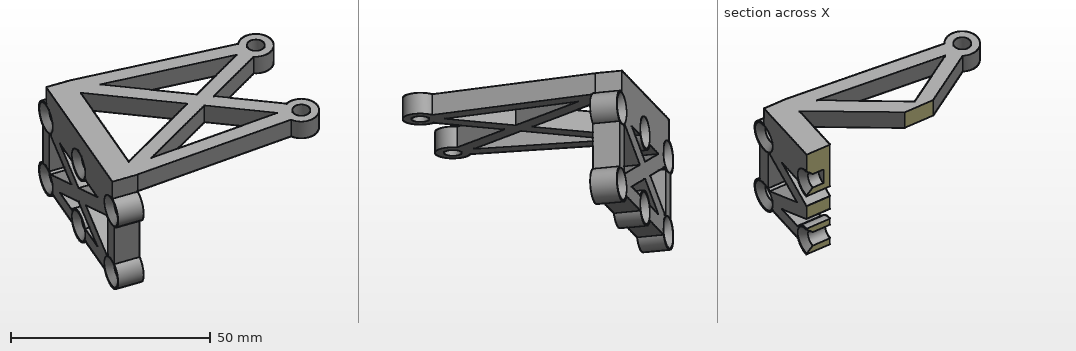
import cadquery as cq
import math

wall_thickness = 7.0
bar_width = 4.0
boss_pitch = 20.0
boss_radius = 4.5
hole_radius = 2.25
sink_radius = 4.1
sink_depth = sink_radius - hole_radius
blind_depth = 5.0
upper_row_z = -10.0
lower_row_z = upper_row_z - boss_pitch
boss_columns = (-boss_pitch, 0.0, boss_pitch)

arm_thickness = 5.5
arm_center_x = 0.4
eye_spacing = 28.0
eye_y = 54.8
eye_radius = 4.5
root_half_width = 20.4
leg_root_offset = root_half_width - bar_width / 2
leg_root_y = 6.5
brace_root_y = 5.2


def bar(plane, start, end, depth):
    """Straight bar of bar_width between two points, extruded along the plane normal."""
    dx = end[0] - start[0]
    dy = end[1] - start[1]
    middle = ((start[0] + end[0]) / 2, (start[1] + end[1]) / 2)
    return (
        cq.Workplane(plane)
        .center(*middle)
        .transformed(rotate=(0, 0, math.degrees(math.atan2(dy, dx))))
        .rect(math.hypot(dx, dy), bar_width)
        .extrude(depth)
    )


def make_wall():
    """Bosses joined by bars, two crossing braces and the solid panel above them."""
    depth = -wall_thickness
    left, _, right = boss_columns
    bars = [
        ((left, upper_row_z), (right, upper_row_z)),
        ((left, lower_row_z), (right, lower_row_z)),
        ((left, lower_row_z), (left, upper_row_z)),
        ((right, lower_row_z), (right, upper_row_z)),
        ((left, lower_row_z), (right, upper_row_z)),
        ((left, upper_row_z), (right, lower_row_z)),
    ]
    panel_height = -upper_row_z
    panel = cq.Workplane("XY").box(
        2 * root_half_width, wall_thickness, panel_height, centered=(True, False, False)
    )
    wall = panel.translate((arm_center_x, 0, upper_row_z))
    for start, end in bars:
        wall = wall.union(bar("XZ", start, end, depth))
    for z in (upper_row_z, lower_row_z):
        for x in boss_columns:
            wall = wall.union(cq.Workplane("XZ").center(x, z).circle(boss_radius).extrude(depth))
    return wall


def make_arm():
    """Two side legs and two crossing braces that end in a pair of eyes."""
    depth = -arm_thickness
    arm = cq.Workplane("XY")
    for side in (-1, 1):
        eye = (arm_center_x + side * eye_spacing / 2, eye_y)
        leg_root = (arm_center_x + side * leg_root_offset, leg_root_y)
        brace_root = (arm_center_x - side * leg_root_offset, brace_root_y)
        arm = arm.union(bar("XY", leg_root, eye, depth))
        arm = arm.union(bar("XY", brace_root, eye, depth))
        arm = arm.union(cq.Workplane("XY").center(*eye).circle(eye_radius).extrude(depth))
    return arm


def countersunk_hole(x, z, depth):
    """Cutter for a hole of the given depth with a conical sink at the front face."""
    profile = [(0, 0), (sink_radius, 0), (hole_radius, sink_depth), (hole_radius, depth), (0, depth)]
    return (
        cq.Workplane("XY")
        .polyline(profile)
        .close()
        .revolve(360, (0, 0), (0, 1))
        .translate((x, 0, z))
    )


def cut_wall_holes(part):
    """Countersunk holes in all bosses; the upper middle one is blind."""
    for z in (upper_row_z, lower_row_z):
        for x in boss_columns:
            is_blind = x == 0 and z == upper_row_z
            depth = blind_depth if is_blind else wall_thickness
            part = part.cut(countersunk_hole(x, z, depth))
    return part


def cut_eye_holes(part):
    """Plain through holes in the two eyes."""
    eyes = [(arm_center_x + side * eye_spacing / 2, eye_y) for side in (-1, 1)]
    return part.cut(cq.Workplane("XY").pushPoints(eyes).circle(hole_radius).extrude(-arm_thickness))


result = cut_eye_holes(cut_wall_holes(make_wall().union(make_arm())))